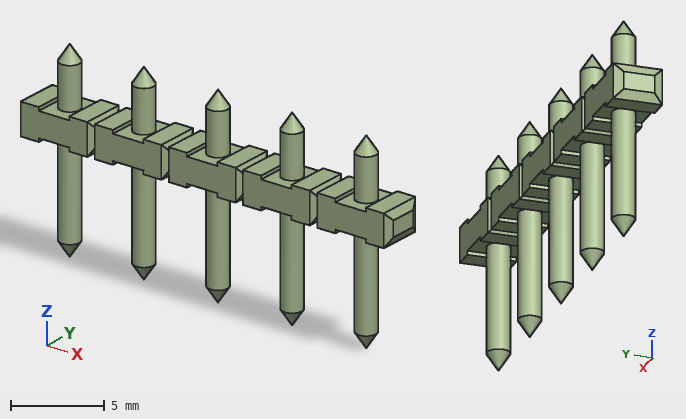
import cadquery as cq

pin_count = 5
pitch = 5.0
block_width = 2.8
block_height = 2.05
end_length = 0.25
end_inset = 0.52

groove_length = 2.05
groove_depth = 0.22

pin_diameter = 1.3
pin_length = 12.5
tip_length = 1.0
pin_above_block = 3.5

pin_radius = pin_diameter / 2
pin_top = block_height / 2 + pin_above_block
pin_bottom = pin_top - pin_length


def tapered_end(direction):
    """Frustum at one end of a block; direction is -1 or +1 along X."""
    start = direction * (pitch / 2 - end_length)
    return (
        cq.Workplane("YZ", origin=(start, 0, 0))
        .rect(block_width, block_height)
        .workplane(offset=direction * end_length)
        .rect(block_width - 2 * end_inset, block_height - 2 * end_inset)
        .loft(ruled=True)
    )


def make_block():
    """One housing block, centred on the origin."""
    block = cq.Workplane("XY").box(pitch - 2 * end_length, block_width, block_height)
    for direction in (-1, 1):
        block = block.union(tapered_end(direction))
        groove = cq.Workplane("XY").box(groove_length, block_width, 2 * groove_depth)
        block = block.cut(groove.translate((0, 0, direction * block_height / 2)))
    return block


def make_pin():
    """One pin on the Z axis, revolved from its half profile."""
    return (
        cq.Workplane("XZ")
        .moveTo(0, pin_bottom)
        .lineTo(pin_radius, pin_bottom + tip_length)
        .lineTo(pin_radius, pin_top - tip_length)
        .lineTo(0, pin_top)
        .close()
        .revolve(360, (0, 0, 0), (0, 1, 0))
    )


contact = make_block().union(make_pin())

first_x = -(pin_count - 1) * pitch / 2
result = contact.translate((first_x, 0, 0))
for index in range(1, pin_count):
    result = result.union(contact.translate((first_x + index * pitch, 0, 0)))